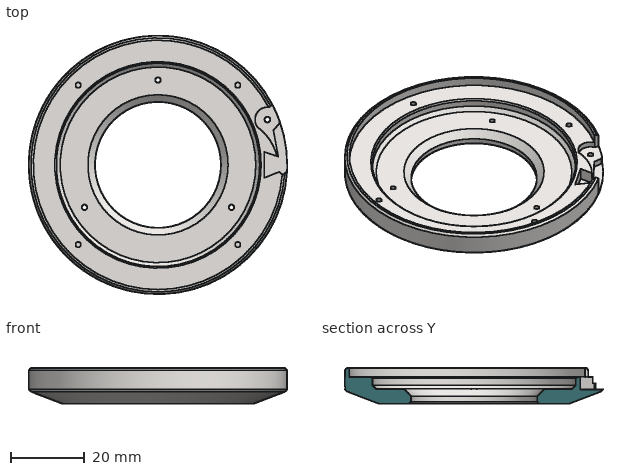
import cadquery as cq
import math

outer_radius = 35.0
height = 9.8
underside_radius = 25.75
underside_cone_top = 3.3
outer_chamfer = 0.6
rim_inner_radius = 33.7
ledge_z = 7.35
recess_radius = 27.5
recess_edge_chamfer = 0.4
recess_floor_z = 4.05
recess_floor_chamfer = 1.05
bore_radius = 17.0
bore_chamfer = 1.95
bore_lower_chamfer = 0.6

floor_hole_diameter = 1.4
floor_hole_circle_radius = 22.95
ledge_hole_diameter = 1.5
ledge_hole_depth = 3.5
ledge_hole_circle_radius = 30.5

pivot_x = 29.6
pivot_y = 12.25
pivot_hole_diameter = 1.5
lever_head_radius = 3.35
lever_floor_z = 5.7
notch_floor_z = 3.9
clear_x = outer_radius + 3.5
lever_tip = (32.55, 2.25)
lever_heel = (31.2, 9.4)
tail_middle = (30.0, 7.1)
tail_end = (32.2, 2.3)

shoulder_angle = -20.0
head_start_angle = 82.0
head_middle_angle = 150.0
tail_start_angle = 218.0

rim_end = (30.85, 16.3)
notch_inner_x = 28.75
notch_half_width = 3.5
notch_lower_tip = (32.8, -1.9)
rim_foot = (33.7, -2.7)
rim_corner = (34.85, -1.9)


def make_ring():
    """Revolve the full cross-section of the ring about Z."""
    chamfer_radius = outer_radius - outer_chamfer
    profile = [
        (bore_radius, bore_lower_chamfer),
        (bore_radius + bore_lower_chamfer, 0),
        (underside_radius, 0),
        (chamfer_radius, underside_cone_top),
        (outer_radius, underside_cone_top + outer_chamfer),
        (outer_radius, height - outer_chamfer),
        (chamfer_radius, height),
        (rim_inner_radius, height),
        (rim_inner_radius, ledge_z),
        (recess_radius + recess_edge_chamfer, ledge_z),
        (recess_radius, ledge_z - recess_edge_chamfer),
        (recess_radius, recess_floor_z + recess_floor_chamfer),
        (recess_radius - recess_floor_chamfer, recess_floor_z),
        (bore_radius + bore_chamfer, recess_floor_z),
        (bore_radius, recess_floor_z - bore_chamfer),
    ]
    return cq.Workplane("XZ").polyline(profile).close().revolve(360, (0, 0), (0, 1))


def head_point(angle):
    """Point on the round lever head at an angle in degrees from +X."""
    turn = math.radians(angle)
    return (
        pivot_x + lever_head_radius * math.cos(turn),
        pivot_y + lever_head_radius * math.sin(turn),
    )


def lever_cutter():
    """Round head open to the outside, with a curved tail narrowing to a blunt tip."""
    return (
        cq.Workplane("XY", origin=(0, 0, lever_floor_z))
        .moveTo(*head_point(head_start_angle))
        .threePointArc(head_point(head_middle_angle), head_point(tail_start_angle))
        .threePointArc(tail_middle, tail_end)
        .lineTo(*lever_tip)
        .lineTo(*lever_heel)
        .lineTo(*head_point(shoulder_angle))
        .threePointArc(head_point(shoulder_angle / 2), head_point(0))
        .lineTo(clear_x, pivot_y)
        .lineTo(clear_x, rim_end[1])
        .lineTo(*rim_end)
        .close()
        .extrude(height)
    )


def notch_cutter():
    """Flared notch, open to the outside up to the shoulder of the lever."""
    return (
        cq.Workplane("XY", origin=(0, 0, notch_floor_z))
        .moveTo(notch_inner_x, notch_half_width)
        .lineTo(*lever_tip)
        .lineTo(*lever_heel)
        .lineTo(*head_point(shoulder_angle))
        .threePointArc(head_point(shoulder_angle / 2), head_point(0))
        .lineTo(clear_x, pivot_y)
        .lineTo(clear_x, rim_corner[1])
        .lineTo(*rim_corner)
        .lineTo(*rim_foot)
        .lineTo(*notch_lower_tip)
        .lineTo(notch_inner_x, -notch_half_width)
        .close()
        .extrude(height)
    )


def floor_holes():
    """Three through holes in the recess floor, the first on +Y."""
    return (
        cq.Workplane("XY")
        .polarArray(floor_hole_circle_radius, 90, 360, 3)
        .circle(floor_hole_diameter / 2)
        .extrude(height)
    )


def ledge_holes():
    """Four blind holes in the ledge, on the diagonals."""
    return (
        cq.Workplane("XY", origin=(0, 0, ledge_z))
        .polarArray(ledge_hole_circle_radius, 45, 360, 4)
        .circle(ledge_hole_diameter / 2)
        .extrude(-ledge_hole_depth)
    )


def pivot_hole():
    """Through hole at the centre of the lever head."""
    return (
        cq.Workplane("XY")
        .center(pivot_x, pivot_y)
        .circle(pivot_hole_diameter / 2)
        .extrude(height)
    )


result = make_ring()
for cutter in (lever_cutter(), notch_cutter(), floor_holes(), ledge_holes(), pivot_hole()):
    result = result.cut(cutter)